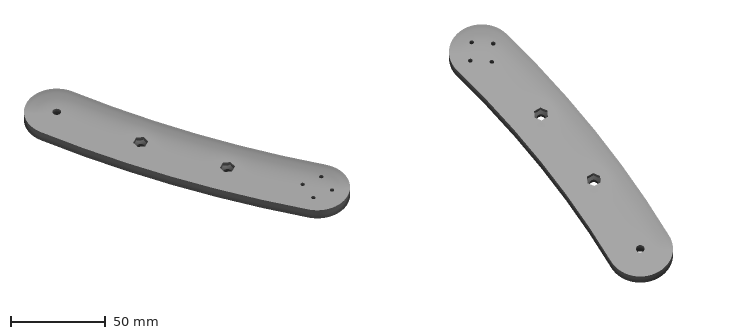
import cadquery as cq
import math

length = 183.0
thickness = 6.0
width = 34.5
end_radius = width / 2
end_x = length / 2 - end_radius
sag = 4.5

bend_radius = (end_x**2 + sag**2) / (2 * sag)
bend_center_y = bend_radius - sag

pivot_diameter = 4.5
pin_diameter = 2.4
pin_circle_radius = 8.0
first_pin_angle = 7.0
pin_count = 4

nut_x = 24.7
nut_across_flats = 7.0
nut_corner_diameter = nut_across_flats / math.cos(math.pi / 6)
nut_wall_depth = 1.8
screw_diameter = 4.4
cone_depth = 1.8
nut_drop = math.sqrt(bend_radius**2 - nut_x**2) - bend_center_y


def bend_point(radius, angle):
    """Point at the given radius, with the angle measured from -Y about the bend centre."""
    return (radius * math.sin(angle), bend_center_y - radius * math.cos(angle))


def make_plate():
    outer = bend_radius + end_radius
    inner = bend_radius - end_radius
    half_angle = math.asin(end_x / bend_radius)
    return (
        cq.Workplane("XY")
        .moveTo(*bend_point(outer, -half_angle))
        .threePointArc(bend_point(outer, 0), bend_point(outer, half_angle))
        .threePointArc((length / 2, 0), bend_point(inner, half_angle))
        .threePointArc(bend_point(inner, 0), bend_point(inner, -half_angle))
        .threePointArc((-length / 2, 0), bend_point(outer, -half_angle))
        .close()
        .extrude(thickness)
    )


def make_nut_cutter(x):
    """Hexagonal recess at the top, then a cone narrowing to a through screw hole."""
    center = (x, -nut_drop)
    cone_top = thickness - nut_wall_depth
    hexagon = (
        cq.Workplane("XY", origin=(*center, 0))
        .transformed(rotate=(0, 0, 90))
        .polygon(6, nut_corner_diameter)
        .extrude(thickness)
    )
    cone = (
        cq.Workplane("XY", origin=(*center, cone_top))
        .circle(nut_corner_diameter / 2)
        .workplane(offset=-cone_depth)
        .circle(screw_diameter / 2)
        .loft()
    )
    recess = (
        cq.Workplane("XY", origin=(*center, cone_top))
        .circle(nut_corner_diameter)
        .extrude(nut_wall_depth)
    )
    screw_hole = cq.Workplane("XY", origin=(*center, 0)).circle(screw_diameter / 2).extrude(thickness)
    return hexagon.intersect(cone.union(recess)).union(screw_hole)


result = make_plate()

result = result.cut(cq.Workplane("XY").center(-end_x, 0).circle(pivot_diameter / 2).extrude(thickness))

pins = (
    cq.Workplane("XY")
    .center(end_x, 0)
    .polarArray(pin_circle_radius, first_pin_angle, 360, pin_count)
    .circle(pin_diameter / 2)
    .extrude(thickness)
)
result = result.cut(pins)

for x in (-nut_x, nut_x):
    result = result.cut(make_nut_cutter(x))